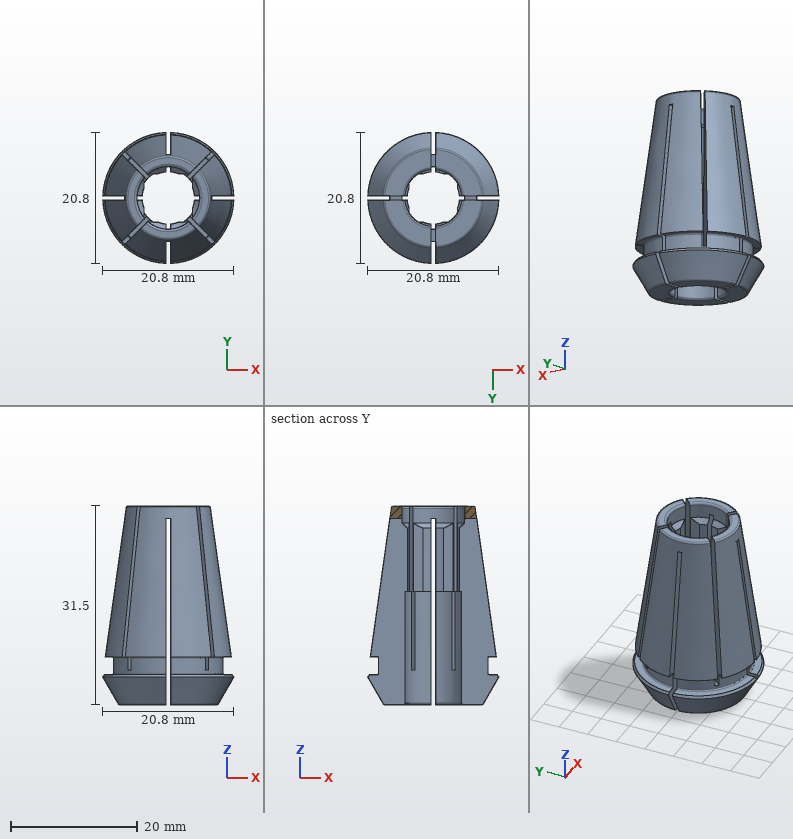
import cadquery as cq
import math

length = 31.5
flange_edge_z = 4.4
flange_top_z = 4.8
taper_start_z = 7.6

flange_radius = 10.395
flange_top_radius = 10.1
groove_radius = 8.7
taper_start_radius = 10.0
taper_half_angle = 8
flange_half_angle = 30

end_round = 0.3
groove_round = 0.2
bore_top_round = 0.4
bore_bottom_round = 0.3

shank_bore_radius = 4.5
square_start_z = 18.0
square_size = 7.64
relief_radius = 4.14
entry_bore_radius = 4.95
entry_bore_z = 28.8

slot_width = 0.7
slot_overrun = 1
lower_slot_end_z = 29.5
upper_slot_floor_z = 5.5
upper_slot_angle = 45


def cone_radius(half_angle, height):
    """Radius gained along the axis by a cone with this half angle."""
    return height * math.tan(math.radians(half_angle))


def collet_blank():
    """Solid of revolution: clamping flange, extraction groove and long taper."""
    bottom_radius = flange_radius - cone_radius(flange_half_angle, flange_edge_z)
    tip_radius = taper_start_radius - cone_radius(taper_half_angle, length - taper_start_z)
    blank = (
        cq.Workplane("XZ")
        .moveTo(0, 0)
        .lineTo(bottom_radius, 0)
        .lineTo(flange_radius, flange_edge_z)
        .lineTo(flange_top_radius, flange_top_z)
        .lineTo(groove_radius + groove_round, flange_top_z)
        .radiusArc((groove_radius, flange_top_z + groove_round), groove_round)
        .lineTo(groove_radius, taper_start_z - groove_round)
        .radiusArc((groove_radius + groove_round, taper_start_z), groove_round)
        .lineTo(taper_start_radius, taper_start_z)
        .lineTo(tip_radius, length)
        .lineTo(0, length)
        .close()
        .revolve(360, (0, 0, 0), (0, 1, 0))
    )
    return blank.faces("<Z or >Z").edges().fillet(end_round)


def stepped_bore():
    """Material removed inside: every bore step, with rounded mouths at both ends."""
    seat_cone_height = entry_bore_radius - relief_radius
    bore = (
        cq.Workplane("XZ")
        .moveTo(0, 0)
        .lineTo(shank_bore_radius + bore_bottom_round, 0)
        .radiusArc((shank_bore_radius, bore_bottom_round), bore_bottom_round)
        .lineTo(shank_bore_radius, square_start_z)
        .lineTo(relief_radius, square_start_z)
        .lineTo(relief_radius, entry_bore_z - seat_cone_height)
        .lineTo(entry_bore_radius, entry_bore_z)
        .lineTo(entry_bore_radius, length - bore_top_round)
        .radiusArc((entry_bore_radius + bore_top_round, length), bore_top_round)
        .lineTo(0, length)
        .close()
        .revolve(360, (0, 0, 0), (0, 1, 0))
    )
    square_length = entry_bore_z - square_start_z
    square = (
        cq.Workplane("XY", origin=(0, 0, square_start_z))
        .rect(square_size, square_size)
        .extrude(square_length)
    )
    corner_limit = (
        cq.Workplane("XY", origin=(0, 0, square_start_z))
        .circle(entry_bore_radius)
        .extrude(square_length)
    )
    return bore.union(square.intersect(corner_limit))


def cross_slots(bottom_z, top_z, angle):
    """Two saw cuts crossing on the axis, which split the wall at four places."""
    slot_length = 2 * (flange_radius + slot_overrun)
    cross = (
        cq.Workplane("XY", origin=(0, 0, bottom_z))
        .rect(slot_length, slot_width)
        .extrude(top_z - bottom_z)
        .union(
            cq.Workplane("XY", origin=(0, 0, bottom_z))
            .rect(slot_width, slot_length)
            .extrude(top_z - bottom_z)
        )
    )
    return cross.rotate((0, 0, 0), (0, 0, 1), angle)


result = (
    collet_blank()
    .cut(stepped_bore())
    .cut(cross_slots(0, lower_slot_end_z, 0))
    .cut(cross_slots(upper_slot_floor_z, length, upper_slot_angle))
)